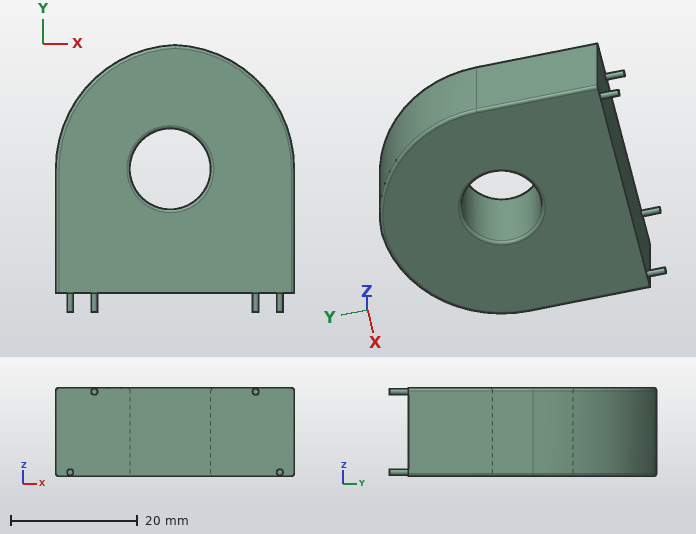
import cadquery as cq
import math

width = 37.592
thickness = 13.97
straight_length = 19.558
edge_radius = 0.5

bore_diameter = 12.7
bore_offset = 0.762

pin_diameter = 1.0
pin_length = 3.0
pin_embed = 1.0
pin_row_spacing = 12.7
upper_pin_spacing = 25.4
lower_pin_spacing = 33.02

half_width = width / 2

crown_radius = half_width + bore_offset
crown_height = math.sqrt(crown_radius**2 - bore_offset**2)
half_arc_angle = math.acos(bore_offset / crown_radius) / 2
arc_mid_x = crown_radius * math.cos(half_arc_angle) - bore_offset
arc_mid_y = crown_radius * math.sin(half_arc_angle)


def make_body():
    """Arched block with its top and bottom rims rounded, except along the pin face."""
    block = (
        cq.Workplane("XY")
        .moveTo(-half_width, -straight_length)
        .lineTo(half_width, -straight_length)
        .lineTo(half_width, 0)
        .threePointArc((arc_mid_x, arc_mid_y), (0, crown_height))
        .threePointArc((-arc_mid_x, arc_mid_y), (-half_width, 0))
        .close()
        .extrude(thickness / 2, both=True)
    )
    rims = block.faces("|Z").edges("not <Y")
    return rims.fillet(edge_radius)


def cut_bore(body):
    """Through bore with both of its rims rounded."""
    bore = (
        cq.Workplane("XY")
        .center(-bore_offset, 0)
        .circle(bore_diameter / 2)
        .extrude(thickness / 2, both=True)
    )
    bored = body.cut(bore)
    bore_rims = bored.faces("|Z").edges(cq.selectors.RadiusNthSelector(0))
    return bore_rims.fillet(edge_radius)


def make_pin_row(spacing, height):
    """Two round pins, symmetric about the centre plane, at the given Z height."""
    return (
        cq.Workplane("XZ", origin=(0, pin_embed - straight_length, height))
        .pushPoints([(-spacing / 2, 0), (spacing / 2, 0)])
        .circle(pin_diameter / 2)
        .extrude(pin_embed + pin_length)
    )


upper_pins = make_pin_row(upper_pin_spacing, pin_row_spacing / 2)
lower_pins = make_pin_row(lower_pin_spacing, -pin_row_spacing / 2)

result = cut_bore(make_body()).union(upper_pins).union(lower_pins)